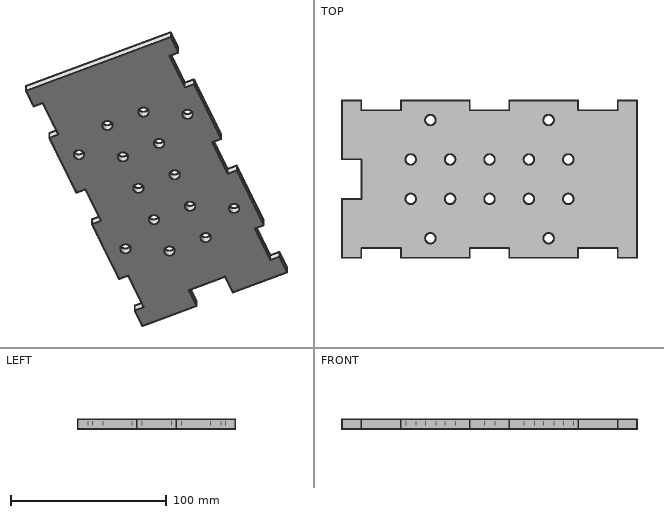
import cadquery as cq

length = 190.5
grid_cells_along_length = 7.5
grid = length / grid_cells_along_length
hole_diameter = 6.7

width = 4 * grid
thickness = grid / 4

notch_width = grid
edge_notch_depth = thickness
end_notch_depth = grid / 2
end_tab_length = grid / 2
edge_notch_spacing = (length - notch_width) / 2 - end_tab_length

hole_pitch = grid
hole_columns = 5
hole_rows = 2
outer_hole_offset = 1.5 * grid


def notch_cutter(center_x, center_y, size_x, size_y):
    """Block through the full thickness, centred on an edge of the plate."""
    return cq.Workplane("XY").center(center_x, center_y).box(size_x, size_y, thickness)


def cut_edge_notches(plate):
    """Three notches on each long edge, symmetric about the middle."""
    for side in (-1, 1):
        for step in (-1, 0, 1):
            plate = plate.cut(
                notch_cutter(step * edge_notch_spacing, side * width / 2, notch_width, 2 * edge_notch_depth)
            )
    return plate


def cut_end_notch(plate):
    """Single notch in the middle of the -X end."""
    return plate.cut(notch_cutter(-length / 2, 0, 2 * end_notch_depth, notch_width))


def drill_holes(plate):
    """Central grid of through holes and four outer holes."""
    plate = (
        plate.faces(">Z").workplane(origin=(0, 0, 0))
        .rarray(hole_pitch, hole_pitch, hole_columns, hole_rows)
        .hole(hole_diameter)
    )
    return (
        plate.faces(">Z").workplane(origin=(0, 0, 0))
        .rarray(2 * outer_hole_offset, 2 * outer_hole_offset, 2, 2)
        .hole(hole_diameter)
    )


plate = cq.Workplane("XY").box(length, width, thickness)
plate = cut_edge_notches(plate)
plate = cut_end_notch(plate)
result = drill_holes(plate)